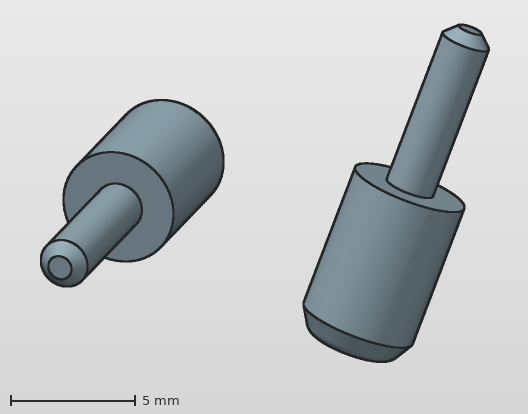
import cadquery as cq
import math

total_length = 14.0
head_length = 7.0
head_radius = 4.7 / 2
shank_radius = 2.0 / 2
tip_chamfer = 0.5

taper_length = 1.0
taper_angle = 30.0
end_rounding = 0.6

head_start = total_length - head_length
cone_start = total_length - taper_length
cone_end_radius = head_radius - taper_length * math.tan(math.radians(taper_angle))

half_outline = (
    cq.Workplane("XY")
    .lineTo(shank_radius - tip_chamfer, 0)
    .lineTo(shank_radius, tip_chamfer)
    .lineTo(shank_radius, head_start)
    .lineTo(head_radius, head_start)
    .lineTo(head_radius, cone_start)
    .lineTo(cone_end_radius, total_length)
    .lineTo(0, total_length)
    .close()
)
pin = half_outline.revolve(360, (0, 0, 0), (0, 1, 0))

result = pin.faces(">Y").edges().fillet(end_rounding)